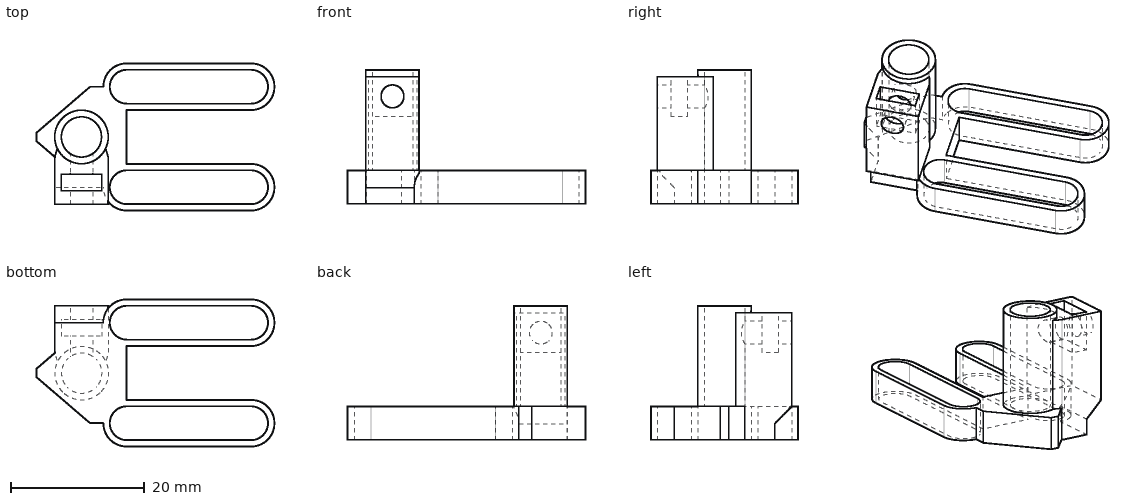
import cadquery as cq

total_length = 35.55
total_width = 22.0
total_height = 20.0
wall = 1.0

plate_height = 5.0
loop_width = 7.0
loop_offset = (total_width - loop_width) / 2
loop_start_x = 6.75
tip_x = -6.72
loop_end_x = tip_x + total_length - loop_width / 2
tip_half_width = 0.65
shoulder_x = 1.28

tube_diameter = 8.0
bore_diameter = 6.0
block_half_width = tube_diameter / 2
block_back_y = -3.05
block_front_y = -10.05
block_top = total_height - wall
flare_x = 3.6
flare_y = -1.65

screw_diameter = 3.4
screw_z = 16.07
nut_width = 6.0
nut_thickness = 2.45
nut_center_y = -6.8
nut_floor = screw_z - nut_width / 2


def arm_slot(side, width, height):
    """Round-ended prism along one arm; side is +1 or -1."""
    straight = loop_end_x - loop_start_x
    return (
        cq.Workplane("XY")
        .center((loop_start_x + loop_end_x) / 2, side * loop_offset)
        .slot2D(straight + width, width)
        .extrude(height)
    )


def make_plate():
    """Pointed web joining the two arm loops, before the loops are opened."""
    plate = (
        cq.Workplane("XY")
        .polyline([
            (tip_x, -tip_half_width),
            (shoulder_x, -loop_offset),
            (loop_start_x, -loop_offset),
            (loop_start_x, loop_offset),
            (shoulder_x, loop_offset),
            (tip_x, tip_half_width),
        ])
        .close()
        .extrude(plate_height)
    )
    for side in (-1, 1):
        plate = plate.union(arm_slot(side, loop_width, plate_height))
    return plate


def make_block():
    """Clamp block whose front overhangs the plate on a 45 degree slope."""
    overhang = -loop_offset - block_front_y
    block = (
        cq.Workplane("YZ")
        .polyline([
            (block_back_y, 0),
            (-loop_offset, 0),
            (-loop_offset, plate_height - overhang),
            (block_front_y, plate_height),
            (block_front_y, block_top),
            (block_back_y, block_top),
        ])
        .close()
        .extrude(block_half_width, both=True)
    )
    cheeks = (
        cq.Workplane("XY")
        .workplane(offset=plate_height)
        .polyline([
            (-block_half_width, block_back_y),
            (block_half_width, block_back_y),
            (flare_x, flare_y),
            (-flare_x, flare_y),
        ])
        .close()
        .extrude(block_top - plate_height)
    )
    return block.union(cheeks)


tube = cq.Workplane("XY").circle(tube_diameter / 2).extrude(total_height)
body = make_plate().union(make_block()).union(tube)

for arm_side in (-1, 1):
    body = body.cut(arm_slot(arm_side, loop_width - 2 * wall, plate_height))

bore = (
    cq.Workplane("XY")
    .workplane(offset=plate_height)
    .circle(bore_diameter / 2)
    .extrude(total_height - plate_height)
)

screw_hole = (
    cq.Workplane("XZ")
    .center(0, screw_z)
    .circle(screw_diameter / 2)
    .extrude(-block_front_y)
)

nut_pocket = (
    cq.Workplane("XY")
    .workplane(offset=nut_floor)
    .center(0, nut_center_y)
    .rect(nut_width, nut_thickness)
    .extrude(block_top - nut_floor)
)

result = body.cut(bore).cut(screw_hole).cut(nut_pocket)